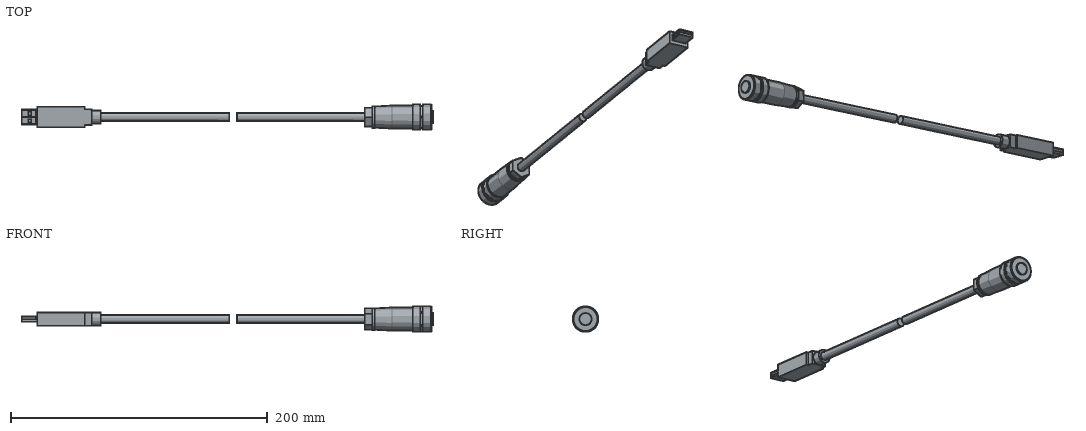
import cadquery as cq
import math

plug_length = 12.0
plug_width = 12.0
plug_height = 4.5
cavity_width = 10.8
cavity_floor_z = -0.2
cavity_roof_z = 1.9
cavity_depth = 11.0
window_start = 5.2
window_length = 2.2
window_width = 2.5
window_spacing = 5.6
seam_width = 0.5
seam_depth = 0.2

grip_width = 16.2
grip_height = 10.5
grip_end = 49.1
neck_width = 12.4
neck_end = 54.5
relief_diameter = 10.5
relief_end = 61.6

cable_diameter = 6.5
usb_cable_end = 161.7
round_cable_start = 167.5

nut_start = 267.0
nut_corner_diameter = 17.0
flange_start = 272.8
flange_diameter = 17.2
sleeve_start = 274.8
taper_start_diameter = 16.8
taper_end = 288.1
sleeve_diameter = 18.2
ring_start = 304.5
ring_diameter = 20.0
flats_start = 310.2
flats_end = 312.3
flats_across = 18.0
ring_end = 319.3
ring_chamfer = 0.7
insert_diameter = 9.5
total_length = 320.4


def block(start, end, width, height):
    """Rectangular block from start to end along X, centred on the cable axis."""
    return cq.Workplane("XY").box(end - start, width, height).translate(((start + end) / 2, 0, 0))


def turned(profile):
    """Solid of revolution about X from (x, radius) points of its outer line."""
    first_x = profile[0][0]
    last_x = profile[-1][0]
    outline = [(first_x, 0)] + profile + [(last_x, 0)]
    return cq.Workplane("XZ").polyline(outline).close().revolve(360, (0, 0, 0), (1, 0, 0))


def cylinder(start, end, diameter):
    return turned([(start, diameter / 2), (end, diameter / 2)])


def hexagon(start, end, corner_diameter):
    """Hexagonal prism along X with two corners on the Z axis."""
    radius = corner_diameter / 2
    angles = [math.radians(60 * corner) for corner in range(6)]
    corners = [(radius * math.sin(angle), radius * math.cos(angle)) for angle in angles]
    return cq.Workplane("YZ", origin=(start, 0, 0)).polyline(corners).close().extrude(end - start)


def usb_plug():
    """Shell with an open front cavity, two latch windows and a seam in its roof."""
    shell = block(0, plug_length, plug_width, plug_height)
    cavity_height = cavity_roof_z - cavity_floor_z
    cavity_middle_z = (cavity_roof_z + cavity_floor_z) / 2
    cavity = block(0, cavity_depth, cavity_width, cavity_height).translate((0, 0, cavity_middle_z))
    shell = shell.cut(cavity)
    roof_thickness = plug_height / 2 - cavity_roof_z
    roof_middle_z = cavity_roof_z + roof_thickness / 2
    for side in (-1, 1):
        window = block(window_start, window_start + window_length, window_width, roof_thickness)
        shell = shell.cut(window.translate((0, side * window_spacing / 2, roof_middle_z)))
    seam = block(0, plug_length, seam_width, 2 * seam_depth)
    return shell.cut(seam.translate((0, 0, plug_height / 2)))


def usb_cable():
    """USB plug, grip, strain relief and the cable stub behind them, as one solid."""
    grip = block(plug_length, grip_end, grip_width, grip_height)
    neck = block(grip_end, neck_end, neck_width, grip_height)
    relief = cylinder(neck_end, relief_end, relief_diameter)
    cable = cylinder(relief_end, usb_cable_end, cable_diameter)
    return usb_plug().union(grip).union(neck).union(relief).union(cable)


def coupling_ring():
    """Round ring with a chamfered front edge and six wrench flats around its middle."""
    ring = turned([
        (ring_start, ring_diameter / 2),
        (ring_end - ring_chamfer, ring_diameter / 2),
        (ring_end, ring_diameter / 2 - ring_chamfer),
    ])
    waist = cylinder(flats_start, flats_end, ring_diameter)
    corner_diameter = flats_across / math.cos(math.radians(30))
    hex_waist = hexagon(flats_start, flats_end, corner_diameter)
    return ring.cut(waist.cut(hex_waist))


def round_connector_cable():
    """Cable stub with the round connector on its end, as one solid."""
    cable = cylinder(round_cable_start, nut_start, cable_diameter)
    nut = hexagon(nut_start, flange_start, nut_corner_diameter)
    flange = cylinder(flange_start, sleeve_start, flange_diameter)
    sleeve = turned([
        (sleeve_start, taper_start_diameter / 2),
        (taper_end, sleeve_diameter / 2),
        (ring_start, sleeve_diameter / 2),
    ])
    insert = cylinder(ring_end, total_length, insert_diameter)
    connector = cable
    for section in (nut, flange, sleeve, coupling_ring(), insert):
        connector = connector.union(section)
    return connector


usb_end = usb_cable()
round_end = round_connector_cable()
result = cq.Compound.makeCompound([usb_end.val(), round_end.val()])